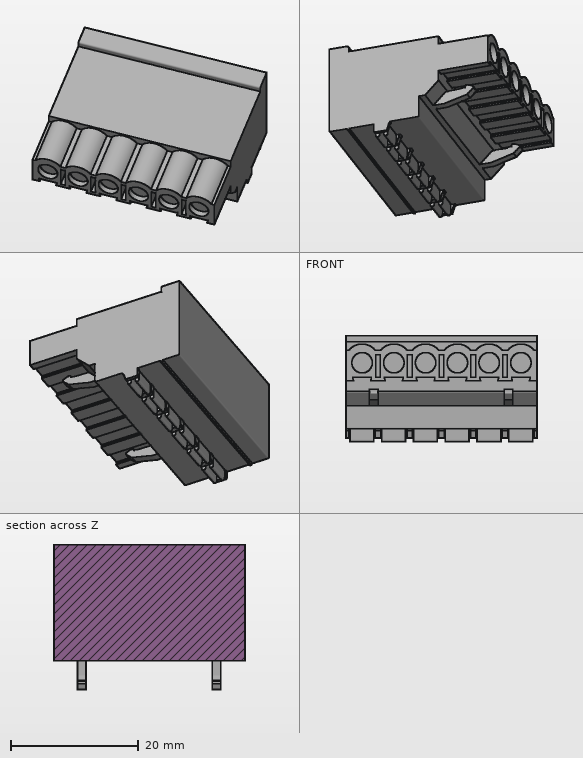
import cadquery as cq


poles = 6
pitch = 5.0
width = 30.1

depth = 26.6
body_top = 13.7
lip_top = 14.7
lip_depth = 3.25
lip_fillet = 0.3
face_y = 8.3
bevel_top = 5.9
bevel_break_y = 8.43
bevel_break_z = 5.7
ledge_z = 3.6
ledge_back_y = 10.55
lower_face_y = 11.55
floor_fillet = 0.25

sleeve_bottom = 7.55
valley_z = 12.37
crown_z = 13.35
crown_width = 4.15
hole_z = 10.4
hole_diameter = 3.22
hole_depth = 1.0
slot_width = 0.72
slot_bottom = 8.15
slot_top = 11.68
notch_top_width = 2.95
notch_bottom_width = 2.65
notch_straight = 0.2

latch_width = 1.35
latch_centres = (-10.65, 10.55)

foot_bottom = -2.02
foot_width = 3.8
foot_offset = -0.03
prong_thickness = 0.65
prong_centres = (17.35, 18.72)
stop_width = 0.9
stop_bottom = -1.45
bead_height = 0.25
bead_front_y = 23.25
bead_flat = 0.2
bead_base = 0.42

pole_centres = [pitch * (i - (poles - 1) / 2) for i in range(poles)]
gap_centres = [pitch * (i - poles / 2) for i in range(poles + 1)]


def side_extrude(outline, length, centre_x=0):
    """Extrude a closed Y-Z outline along X, centred on centre_x."""
    return outline.extrude(length / 2, both=True).translate((centre_x, 0, 0))


def box(x_size, centre_x, y_range, z_range):
    """Box centred on centre_x that spans the given Y and Z ranges."""
    y_size = y_range[1] - y_range[0]
    z_size = z_range[1] - z_range[0]
    corner = (centre_x - x_size / 2, y_range[0], z_range[0])
    return cq.Workplane("XY").box(x_size, y_size, z_size, centered=False).translate(corner)


def make_body():
    lip_y = depth - lip_depth
    outline = cq.Workplane("YZ").polyline([
        (lower_face_y, 0),
        (depth, 0),
        (depth, lip_top),
        (lip_y, lip_top),
        (lip_y, body_top),
        (face_y, body_top),
        (face_y, bevel_top),
        (bevel_break_y, bevel_break_z),
        (ledge_back_y, ledge_z),
        (lower_face_y, ledge_z),
    ]).close()
    body = side_extrude(outline, width)
    body = body.edges("|X and <Z").fillet(floor_fillet)
    return body.edges(cq.selectors.NearestToPointSelector((0, lip_y, lip_top))).fillet(lip_fillet)


def make_sleeves():
    """Row of round-topped sleeves, drawn as one outline on the X-Z plane."""
    outline = cq.Workplane("XZ").moveTo(-width / 2, sleeve_bottom).lineTo(-width / 2, valley_z)
    for x in pole_centres:
        outline = outline.lineTo(x - crown_width / 2, valley_z)
        outline = outline.threePointArc((x, crown_z), (x + crown_width / 2, valley_z))
    outline = outline.lineTo(width / 2, valley_z).lineTo(width / 2, sleeve_bottom).close()
    sleeves = outline.extrude(-face_y)

    for x in pole_centres:
        hole = cq.Workplane("XZ").center(x, hole_z).circle(hole_diameter / 2).extrude(-hole_depth)
        sleeves = sleeves.cut(hole).cut(make_notch(x))
    for x in gap_centres[1:-1]:
        sleeves = sleeves.cut(box(slot_width, x, (0, face_y), (slot_bottom, slot_top)))
    return sleeves


def make_notch(x):
    """Undercut groove along the bottom of a sleeve."""
    top = notch_top_width / 2
    bottom = notch_bottom_width / 2
    return cq.Workplane("XZ").polyline([
        (x - top, slot_bottom),
        (x + top, slot_bottom),
        (x + top, slot_bottom - notch_straight),
        (x + bottom, sleeve_bottom),
        (x - bottom, sleeve_bottom),
        (x - top, slot_bottom - notch_straight),
    ]).close().extrude(-face_y)


def make_latch(x):
    """Hooked arm that reaches forward from the bevel."""
    outline = (
        cq.Workplane("YZ")
        .moveTo(ledge_back_y, ledge_z)
        .lineTo(bevel_break_y, bevel_break_z)
        .lineTo(6.02, 5.75)
        .lineTo(5.25, 5.9)
        .lineTo(5.1, 6.25)
        .lineTo(4.75, 6.25)
        .lineTo(3.97, 5.9)
        .threePointArc((3.8, 5.7), (3.88, 5.48))
        .lineTo(4.85, 4.58)
        .lineTo(8.65, ledge_z)
        .close()
    )
    return side_extrude(outline, latch_width, x)


def make_prong(x, y):
    """Round-ended prong below one pole; each foot is a pair of them."""
    radius = prong_thickness / 2
    round_z = foot_bottom + radius
    outline = (
        cq.Workplane("YZ")
        .moveTo(y - radius, 0)
        .lineTo(y - radius, round_z)
        .threePointArc((y, foot_bottom), (y + radius, round_z))
        .lineTo(y + radius, 0)
        .close()
    )
    return side_extrude(outline, foot_width, x + foot_offset)


def make_stop(x):
    """Tapered block below the gap between two poles."""
    outline = cq.Workplane("YZ").polyline([
        (19.15, 0),
        (19.15, -1.2),
        (19.02, stop_bottom),
        (16.98, stop_bottom),
        (16.62, -0.3),
        (16.37, 0),
    ]).close()
    return side_extrude(outline, stop_width, x)


def make_bead():
    """Small ridge along the full width of the floor."""
    outline = cq.Workplane("YZ").polyline([
        (bead_front_y, 0),
        (bead_front_y, -bead_height),
        (bead_front_y + bead_flat, -bead_height),
        (bead_front_y + bead_base, 0),
    ]).close()
    return side_extrude(outline, width)


result = make_body().union(make_sleeves()).union(make_bead())
for latch_x in latch_centres:
    result = result.union(make_latch(latch_x))
for pole_x in pole_centres:
    for prong_y in prong_centres:
        result = result.union(make_prong(pole_x, prong_y))

end_trim = box(width, 0, (0, depth), (foot_bottom, 0))
for gap_x in gap_centres:
    result = result.union(make_stop(gap_x).intersect(end_trim))